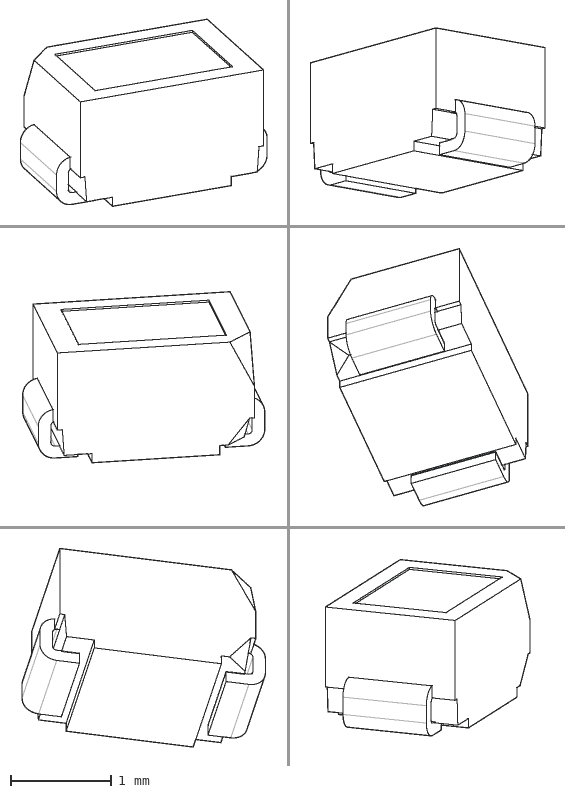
import cadquery as cq

overall_length = 2.3

housing_width = 1.4
housing_length = 2.0
housing_bottom = 0.02
housing_top = 1.22
shoulder_height = 0.393
shoulder_depth = 0.05
end_wall_draft = 0.018
step_height = 0.12
foot_length = 1.297

top_corner_leg = 0.25
top_corner_drop = 0.49
lower_corner_leg = 0.2

panel_width = 1.0
panel_length = 1.5
panel_depth = 0.02

lead_width = 0.9
lead_thickness = 0.129
lead_top = 0.52
lead_bend_radius = 0.17
pad_inner_end = 0.748

half_width = housing_width / 2
half_length = housing_length / 2
half_foot = foot_length / 2
wall_top = half_length - shoulder_depth
wall_bottom = wall_top - end_wall_draft
lead_inner_radius = lead_bend_radius - lead_thickness


def corner_wedge(corner, leg_x, leg_y, tip):
    """Tetrahedron with a horizontal triangular face at `corner` and its point at `tip`."""
    x, y, z = corner
    points = [
        cq.Vector(x, y, z),
        cq.Vector(x + leg_x, y, z),
        cq.Vector(x, y + leg_y, z),
        cq.Vector(*tip),
    ]
    faces = []
    for skipped in range(len(points)):
        triangle = [point for index, point in enumerate(points) if index != skipped]
        faces.append(cq.Face.makeFromWires(cq.Wire.makePolygon(triangle, close=True)))
    return cq.Workplane(cq.Solid.makeSolid(cq.Shell.makeShell(faces)))


def make_lead_strip():
    """Flat strip running through the housing and bent under it at both ends."""
    half_height = lead_top / 2
    outer = (
        cq.Workplane("XY")
        .box(lead_width, overall_length, lead_top)
        .edges("|X")
        .fillet(lead_bend_radius)
    )
    inner = (
        cq.Workplane("XY")
        .box(lead_width, overall_length - 2 * lead_thickness, lead_top - 2 * lead_thickness)
        .edges("|X")
        .fillet(lead_inner_radius)
    )
    pad_gap = cq.Workplane("XY").box(
        lead_width, 2 * pad_inner_end, lead_top - lead_thickness, centered=(True, True, False)
    )
    ring = outer.cut(inner).translate((0, 0, half_height))
    return ring.cut(pad_gap)


def make_housing_block():
    """Side profile of the housing, with stepped ends, extruded across its width."""
    right_side = [
        (half_foot, housing_bottom),
        (half_foot, step_height),
        (wall_bottom, step_height),
        (wall_top, shoulder_height),
        (half_length, shoulder_height),
        (half_length, housing_top),
    ]
    left_side = [(-y, z) for y, z in reversed(right_side)]
    return cq.Workplane("YZ").polyline(right_side + left_side).close().extrude(half_width, both=True)


def make_housing(lead_strip):
    housing = make_housing_block()

    housing = housing.cut(
        corner_wedge(
            (-half_width, -half_length, housing_top),
            top_corner_leg,
            top_corner_leg,
            (-half_width, -half_length, housing_top - top_corner_drop),
        )
    )

    housing = housing.cut(
        corner_wedge(
            (-half_width, -wall_bottom, step_height),
            lower_corner_leg,
            lower_corner_leg,
            (-half_width, -wall_top, shoulder_height),
        )
    )

    panel = cq.Workplane("XY", origin=(0, 0, housing_top - panel_depth)).rect(panel_width, panel_length)
    housing = housing.cut(panel.extrude(panel_depth))

    return housing.cut(lead_strip)


lead_strip = make_lead_strip()
housing = make_housing(lead_strip)

result = cq.Compound.makeCompound([housing.solids().val(), lead_strip.solids().val()])